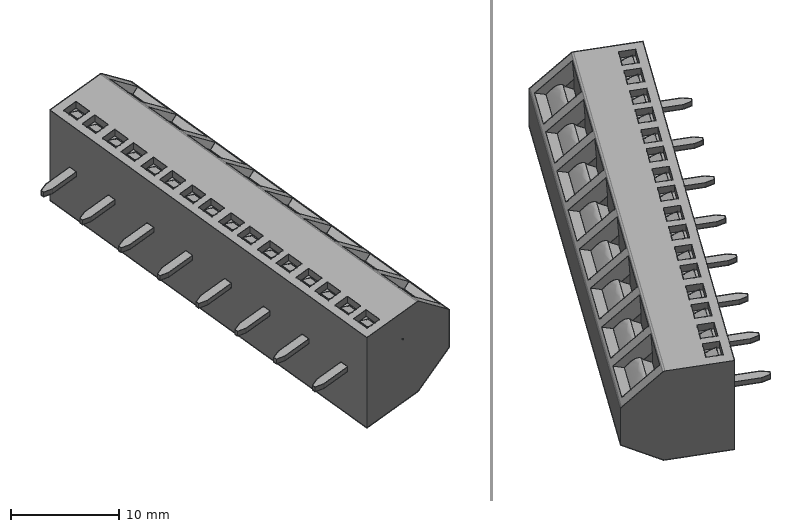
import cadquery as cq
import math

GATE_MARK_HEIGHT = 0.1
GATE_MARK_DIAMETER = 0.12
GATE_MARK_Y = 4.65
GATE_MARK_Z = 8.45

OVERALL_LENGTH = 41.65
HOUSING_LENGTH = OVERALL_LENGTH - GATE_MARK_HEIGHT
DEPTH = 10.8
HEIGHT = 12.0
CHAMFER_DEPTH = 4.1
UPPER_CHAMFER_DROP = CHAMFER_DEPTH
LOWER_CHAMFER_RISE = 2.9
EDGE_RADIUS = 0.3

POLE_COUNT = 8
PITCH = 5.1

PIN_WIDTH = 0.87
PIN_THICKNESS = 0.62
PIN_LENGTH = 4.0
PIN_TAPER = 0.87
PIN_TIP_WIDTH = 0.35
PIN_ROOT = 0.4

ENTRY_WIDTH = 4.05
ENTRY_INSET = 0.7
ENTRY_FUNNEL_DEPTH = 1.25
ENTRY_LOW_MARGIN = 0.35
ENTRY_HIGH_MARGIN = 0.15
ENTRY_SILL = 1.0
ENTRY_SEAT = 0.95
LIP_RADIUS = 0.65
LIP_END_ANGLE = 12.0
FLOOR_ANGLE = 33.0

OPENING_SPACING = 2.45
OPENING_WIDTH = 1.75
OPENING_LENGTH = 1.62
OPENING_FRONT = 0.87
OPENING_DEPTH = 0.87
LEVER_WIDTH = 1.05
LEVER_BACK_GAP = 0.12
LEVER_LENGTH = 1.12
LEVER_ANGLE = 25.0

SLOPE_ANGLE = math.radians(45)
POLE_POSITIONS = [(i - (POLE_COUNT - 1) / 2) * PITCH for i in range(POLE_COUNT)]


def slope_height(y):
    """Height of the upper sloped face at a given Y."""
    return HEIGHT - (y - (DEPTH - CHAMFER_DEPTH))


def extrude_along_x(outline, width):
    """Prism of a closed YZ outline, centred on X = 0."""
    return outline.extrude(width).translate((-width / 2, 0, 0))


def make_housing():
    """Bar with two sloped faces at the back, leaving room for the gate mark."""
    profile = (
        cq.Workplane("YZ")
        .moveTo(0, 0)
        .lineTo(0, HEIGHT)
        .lineTo(DEPTH - CHAMFER_DEPTH, HEIGHT)
        .lineTo(DEPTH, HEIGHT - UPPER_CHAMFER_DROP)
        .lineTo(DEPTH, LOWER_CHAMFER_RISE)
        .lineTo(DEPTH - CHAMFER_DEPTH, 0)
        .close()
    )
    housing = extrude_along_x(profile, HOUSING_LENGTH)
    upper_slope = housing.faces(cq.selectors.DirectionMinMaxSelector(cq.Vector(0, 1, 1)))
    rounded = upper_slope.edges("|X").fillet(EDGE_RADIUS)
    return rounded.translate((-GATE_MARK_HEIGHT / 2, 0, 0))


def make_pin():
    """Pin with a tapered tip, rooted a little way inside the housing."""
    outline = (
        cq.Workplane("XY", origin=(0, 0, (HEIGHT - PIN_THICKNESS) / 2))
        .moveTo(-PIN_WIDTH / 2, PIN_ROOT)
        .lineTo(-PIN_WIDTH / 2, PIN_TAPER - PIN_LENGTH)
        .lineTo(-PIN_TIP_WIDTH / 2, -PIN_LENGTH)
        .lineTo(PIN_TIP_WIDTH / 2, -PIN_LENGTH)
        .lineTo(PIN_WIDTH / 2, PIN_TAPER - PIN_LENGTH)
        .lineTo(PIN_WIDTH / 2, PIN_ROOT)
        .close()
    )
    return outline.extrude(PIN_THICKNESS)


def make_wire_entry():
    """Cutter: sill, seat, rounded lip and falling floor between the side walls."""
    low_y = DEPTH - ENTRY_LOW_MARGIN
    high_y = DEPTH - CHAMFER_DEPTH + ENTRY_HIGH_MARGIN
    sill_z = slope_height(low_y)
    seat_y = low_y - ENTRY_SILL
    lip_y = seat_y - ENTRY_SEAT
    lip_z = sill_z + ENTRY_SEAT
    lip_centre_y = lip_y - LIP_RADIUS * math.sin(SLOPE_ANGLE)
    lip_centre_z = lip_z - LIP_RADIUS * math.cos(SLOPE_ANGLE)
    end_angle = math.radians(LIP_END_ANGLE)
    lip_end_y = lip_centre_y - LIP_RADIUS * math.sin(end_angle)
    lip_end_z = lip_centre_z + LIP_RADIUS * math.cos(end_angle)
    floor_fall = (lip_end_y - high_y) * math.tan(math.radians(FLOOR_ANGLE))
    outline = (
        cq.Workplane("YZ")
        .moveTo(low_y, sill_z)
        .lineTo(seat_y, sill_z)
        .spline(
            [(lip_y, lip_z), (lip_end_y, lip_end_z)],
            tangents=[(-1, 1), (-math.cos(end_angle), -math.sin(end_angle))],
            includeCurrent=True,
        )
        .lineTo(high_y, lip_end_z - floor_fall)
        .lineTo(high_y, slope_height(high_y))
        .close()
    )
    return extrude_along_x(outline, ENTRY_WIDTH).intersect(make_entry_sides())


def make_entry_sides():
    """Space between the side walls: tapering in the funnel, then straight."""
    top = ENTRY_WIDTH / 2
    bottom = top - ENTRY_INSET
    slope_plane = cq.Plane(
        origin=(0, DEPTH, slope_height(DEPTH)),
        xDir=(1, 0, 0),
        normal=(0, -1, 1),
    )
    return (
        cq.Workplane(slope_plane)
        .polyline([
            (-top, 0),
            (-bottom, -ENTRY_FUNNEL_DEPTH),
            (-bottom, -CHAMFER_DEPTH),
            (bottom, -CHAMFER_DEPTH),
            (bottom, -ENTRY_FUNNEL_DEPTH),
            (top, 0),
        ])
        .close()
        .extrude(2 * CHAMFER_DEPTH, both=True)
    )


def make_opening():
    """Cutter: shallow square opening that leaves a ramped lever on its floor."""
    floor_z = HEIGHT - OPENING_DEPTH
    back_y = OPENING_FRONT + OPENING_LENGTH
    pocket = (
        cq.Workplane("XY", origin=(0, (OPENING_FRONT + back_y) / 2, floor_z))
        .rect(OPENING_WIDTH, OPENING_LENGTH)
        .extrude(OPENING_DEPTH)
    )
    lever_back = back_y - LEVER_BACK_GAP
    lever_front = lever_back - LEVER_LENGTH
    lever_rise = LEVER_LENGTH * math.tan(math.radians(LEVER_ANGLE))
    lever = (
        cq.Workplane("YZ")
        .moveTo(lever_back, floor_z)
        .lineTo(lever_front, floor_z + lever_rise)
        .lineTo(lever_front, floor_z)
        .close()
    )
    return pocket.cut(extrude_along_x(lever, LEVER_WIDTH))


def make_gate_mark():
    """Tiny round stud on the +X end face."""
    return (
        cq.Workplane("YZ", origin=(OVERALL_LENGTH / 2 - GATE_MARK_HEIGHT, GATE_MARK_Y, GATE_MARK_Z))
        .circle(GATE_MARK_DIAMETER / 2)
        .extrude(GATE_MARK_HEIGHT)
    )


result = make_housing().union(make_gate_mark())
pin = make_pin()
wire_entry = make_wire_entry()
opening = make_opening()
for x in POLE_POSITIONS:
    result = result.cut(wire_entry.translate((x, 0, 0)))
    for side in (-1, 1):
        result = result.cut(opening.translate((x + side * OPENING_SPACING / 2, 0, 0)))
    result = result.union(pin.translate((x, 0, 0)))